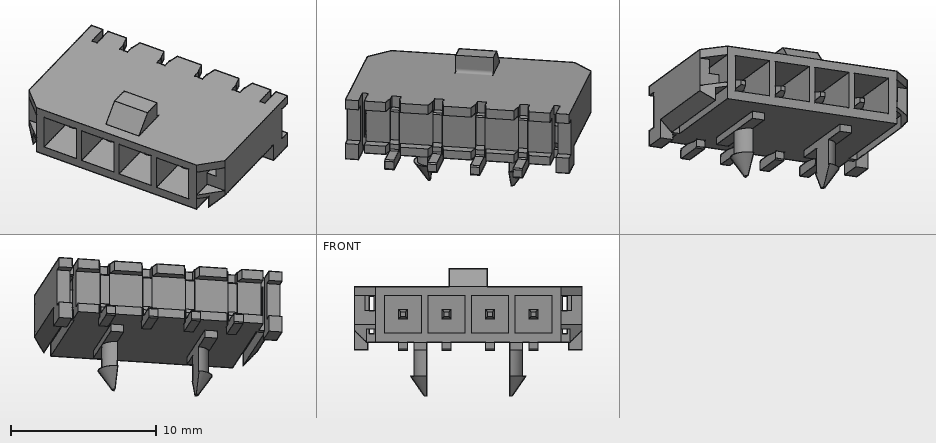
import cadquery as cq

SIDES = (-1, 1)

WIDTH = 15.65
DEPTH = 9.9
HEIGHT = 3.83
CORNER = 1.44
EDGE_CHAMFER = 0.83
STANDOFF = 0.52

BACK_Y = 9.19
LIP_Z = 3.16
SHELF_Z = 0.61

CONTACT_COUNT = 4
PITCH = 2.99
CONTACT_X = [(i - (CONTACT_COUNT - 1) / 2) * PITCH for i in range(CONTACT_COUNT)]
CONTACT_Z = 1.94
SOCKET_SIZE = 2.57
SOCKET_DEPTH = 7.51

PIN_WIDTH = 0.64
PIN_THICKNESS = 0.72
PIN_EDGE = 0.1
BLADE_TIP_Y = 1.56
BLADE_TIP_SIZE = 0.33
BLADE_TAPER = 0.63
LEG_FRONT_Y = 8.59
LEG_TOP_Z = 3.05
LEG_JOG = 0.13
JOG_TOP_Z = 0.89
SOLDER_END_Y = 11.35
SOLDER_BOTTOM_Z = -0.56

MOUTH_WIDTH = 1.06
THROAT_WIDTH = 0.72

FOOT_FRONT_Y = 8.0
FOOT_INNER_X = 6.9
SLOT_INNER_X = 6.5
SLOT_FRONT_Y = 8.4
SLIT_OUTER_X = 6.79

POCKET_INNER_X = WIDTH / 2 - CORNER
POCKET_BOTTOM_Z = 1.22
POCKET_TOP_Z = 3.21
WINDOW_OUTER_X = 7.1
WINDOW_BOTTOM_Z = 2.19
CHANNEL_OUTER_X = WIDTH / 2 - EDGE_CHAMFER
CHANNEL_TOP_Z = 0.9

LATCH_WIDTH = 2.63
LATCH_HEIGHT = 1.24
LATCH_FRONT_Y = 0.81
LATCH_CREST_Y = 1.99
LATCH_BACK_Y = 3.29
LATCH_FILLET = 0.25

RAIL_FRONT_Y = 1.69
RAIL_LENGTH = 6.01
PEG_FLAT_X = 2.85
PEG_Y = 4.6
PEG_HALF_WIDTH = 1.0
PEG_REACH = 0.89
BARB_HALF_WIDTH = 1.17
BARB_REACH = 1.13
BARB_TIP_HALF_WIDTH = 0.22
BARB_TIP_REACH = 0.17
BARB_TOP_Z = -2.32
PEG_BOTTOM_Z = -3.7


def box(x_range, y_range, z_range):
    """Axis-aligned box between two X, two Y and two Z values, each in any order."""
    lows, highs = zip(*(sorted(limits) for limits in (x_range, y_range, z_range)))
    size = [high - low for low, high in zip(lows, highs)]
    return cq.Workplane().box(*size, centered=False).translate(lows)


def centred_box(x, width, y_range, z_range):
    return box((x - width / 2, x + width / 2), y_range, z_range)


def side_profile(outline, x, width):
    """Extrude a closed YZ wire symmetrically about the given X."""
    return outline.extrude(width / 2, both=True).translate((x, 0, 0))



def shell():
    """Block with cut front corners and the rear face set back between lip and shelf."""
    block = centred_box(0, WIDTH, (0, DEPTH), (0, HEIGHT))
    block = block.faces("<Y").edges("|Z").chamfer(CORNER)
    return block.cut(centred_box(0, WIDTH, (BACK_Y, DEPTH), (SHELF_Z, LIP_Z)))


def edge_cut(side):
    """Wedge that bevels the lower side edge from the front up to the foot."""
    outer = side * WIDTH / 2
    corners = [(outer, 0), (outer - side * EDGE_CHAMFER, 0), (outer, EDGE_CHAMFER)]
    return cq.Workplane("XZ").polyline(corners).close().extrude(-FOOT_FRONT_Y)


def foot(side):
    return box((side * FOOT_INNER_X, side * WIDTH / 2), (FOOT_FRONT_Y, DEPTH), (-STANDOFF, SHELF_Z))


def corner_openings(side):
    """Front corner pocket, the window and channel behind it, and the rear slot."""
    inner = side * POCKET_INNER_X
    slot_inner = side * SLOT_INNER_X
    pocket = box((inner, side * WIDTH / 2), (0, CORNER), (POCKET_BOTTOM_Z, POCKET_TOP_Z))
    window = box((inner, side * WINDOW_OUTER_X), (0, FOOT_FRONT_Y), (WINDOW_BOTTOM_Z, POCKET_TOP_Z))
    channel = box((inner, side * CHANNEL_OUTER_X), (0, FOOT_FRONT_Y), (0, CHANNEL_TOP_Z))
    slit = box((slot_inner, side * SLIT_OUTER_X), (FOOT_FRONT_Y, DEPTH), (SHELF_Z, LIP_Z))
    slot = box((slot_inner, side * FOOT_INNER_X), (SLOT_FRONT_Y, DEPTH), (-STANDOFF, HEIGHT))
    return pocket.union(window).union(channel).union(slit).union(slot)


def contact_openings(x):
    """Socket, blade hole, and rear leg slot with its tapered mouth."""
    socket_z = (CONTACT_Z - SOCKET_SIZE / 2, CONTACT_Z + SOCKET_SIZE / 2)
    blade_z = (CONTACT_Z - PIN_WIDTH / 2, CONTACT_Z + PIN_WIDTH / 2)
    socket = centred_box(x, SOCKET_SIZE, (0, SOCKET_DEPTH), socket_z)
    blade_hole = centred_box(x, PIN_WIDTH, (SOCKET_DEPTH, LEG_FRONT_Y), blade_z)
    leg_slot = centred_box(x, PIN_WIDTH, (LEG_FRONT_Y, DEPTH), (0, HEIGHT))
    mouth = (
        cq.Workplane("XY")
        .polyline([
            (x - THROAT_WIDTH / 2, BACK_Y),
            (x + THROAT_WIDTH / 2, BACK_Y),
            (x + MOUTH_WIDTH / 2, DEPTH),
            (x - MOUTH_WIDTH / 2, DEPTH),
        ])
        .close()
        .extrude(HEIGHT)
    )
    return socket.union(blade_hole).union(leg_slot).union(mouth)


def latch():
    """Ramp with a sloped front and a small concave fillet at the rear base."""
    crest_z = HEIGHT + LATCH_HEIGHT
    outline = (
        cq.Workplane("YZ")
        .moveTo(LATCH_FRONT_Y, HEIGHT)
        .lineTo(LATCH_CREST_Y, crest_z)
        .lineTo(LATCH_BACK_Y, crest_z)
        .lineTo(LATCH_BACK_Y, HEIGHT + LATCH_FILLET)
        .radiusArc((LATCH_BACK_Y + LATCH_FILLET, HEIGHT), -LATCH_FILLET)
        .close()
    )
    return side_profile(outline, 0, LATCH_WIDTH)


def d_section(work, side, half_width, reach):
    """D-shaped wire: straight on the peg flat, bulging outward by the reach."""
    flat = side * PEG_FLAT_X
    return (
        work.moveTo(flat, PEG_Y - half_width)
        .threePointArc((flat + side * reach, PEG_Y), (flat, PEG_Y + half_width))
        .close()
    )


def peg(side):
    """Rail under the housing carrying a D-shaped shaft with a tapered barb."""
    flat = side * PEG_FLAT_X
    rail_y = (RAIL_FRONT_Y, RAIL_FRONT_Y + RAIL_LENGTH)
    rail = box((flat, flat + side * PEG_REACH), rail_y, (-STANDOFF, 0))
    shaft_top = cq.Workplane("XY", origin=(0, 0, -STANDOFF))
    shaft = d_section(shaft_top, side, PEG_HALF_WIDTH, PEG_REACH).extrude(BARB_TOP_Z + STANDOFF)
    barb = d_section(cq.Workplane("XY", origin=(0, 0, BARB_TOP_Z)), side, BARB_HALF_WIDTH, BARB_REACH)
    barb = barb.workplane(offset=PEG_BOTTOM_Z - BARB_TOP_Z)
    barb = d_section(barb, side, BARB_TIP_HALF_WIDTH, BARB_TIP_REACH).loft(ruled=True)
    return rail.union(shaft).union(barb)


def make_housing():
    body = shell().union(latch())
    for side in SIDES:
        body = body.cut(edge_cut(side)).union(foot(side)).cut(corner_openings(side)).union(peg(side))
    for x in CONTACT_X:
        body = body.cut(contact_openings(x))
    return body



def make_pin(x):
    """Square tapered blade joined to a jogged leg that bends into a solder foot."""
    leg_back = LEG_FRONT_Y + PIN_THICKNESS
    lower_front = LEG_FRONT_Y + LEG_JOG
    lower_back = leg_back + LEG_JOG
    solder_top = SOLDER_BOTTOM_Z + PIN_THICKNESS
    outline = cq.Workplane("YZ").polyline([
        (LEG_FRONT_Y, JOG_TOP_Z),
        (LEG_FRONT_Y, LEG_TOP_Z - PIN_EDGE),
        (LEG_FRONT_Y + PIN_EDGE, LEG_TOP_Z),
        (leg_back - PIN_EDGE, LEG_TOP_Z),
        (leg_back, LEG_TOP_Z - PIN_EDGE),
        (leg_back, JOG_TOP_Z),
        (lower_back, SHELF_Z),
        (lower_back, solder_top + PIN_EDGE),
        (lower_back + PIN_EDGE, solder_top),
        (SOLDER_END_Y - PIN_EDGE, solder_top),
        (SOLDER_END_Y, solder_top - PIN_EDGE),
        (SOLDER_END_Y, SOLDER_BOTTOM_Z + PIN_EDGE),
        (SOLDER_END_Y - PIN_EDGE, SOLDER_BOTTOM_Z),
        (lower_front + PIN_EDGE, SOLDER_BOTTOM_Z),
        (lower_front, SOLDER_BOTTOM_Z + PIN_EDGE),
        (lower_front, SHELF_Z),
    ]).close()
    leg = side_profile(outline, x, PIN_WIDTH)

    taper_end_y = BLADE_TIP_Y + BLADE_TAPER
    blade_z = (CONTACT_Z - PIN_WIDTH / 2, CONTACT_Z + PIN_WIDTH / 2)
    blade = centred_box(x, PIN_WIDTH, (taper_end_y, LEG_FRONT_Y), blade_z)
    tip = (
        cq.Workplane("XZ", origin=(x, taper_end_y, CONTACT_Z))
        .rect(PIN_WIDTH, PIN_WIDTH)
        .workplane(offset=BLADE_TAPER)
        .rect(BLADE_TIP_SIZE, BLADE_TIP_SIZE)
        .loft(ruled=True)
    )
    return leg.union(blade).union(tip)


housing = make_housing()
pins = [make_pin(x) for x in CONTACT_X]

result = cq.Compound.makeCompound([housing.solids().val(), *(pin.solids().val() for pin in pins)])